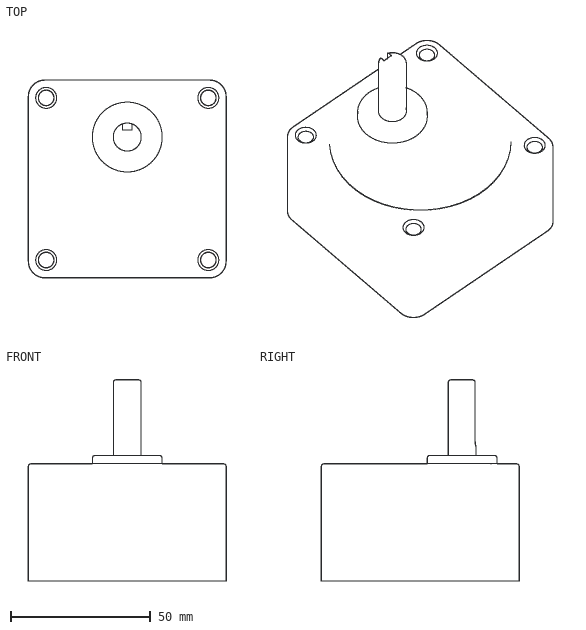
import cadquery as cq

block_width = 70.8
block_height = 42.0
corner_radius = 6.0
edge_round = 1.0

hole_spacing = 57.95
hole_diameter = 5.5
hole_chamfer = 1.0

recess_rim_radius = 33.0
recess_round = 0.5
recess_depth = 2 * recess_round
recess_wall_radius = recess_rim_radius - recess_round
recess_floor = block_height - recess_depth

shaft_offset = 15.0
flange_diameter = 25.0
flange_height = 3.0
flange_top = block_height + flange_height
total_height = 72.0
shaft_diameter = 10.0
shaft_length = total_height - flange_top

key_width = 3.5
key_depth = 2.5
key_gap = 3.0


def make_block():
    block = cq.Workplane("XY").box(block_width, block_width, block_height, centered=(True, True, False))
    return block.edges("|Z").fillet(corner_radius).faces(">Z").edges().fillet(edge_round)


def make_mounting_holes():
    """Through holes with a chamfered mouth, as cutting solids."""
    radius = hole_diameter / 2
    profile = (
        cq.Workplane("XZ")
        .lineTo(radius, 0)
        .lineTo(radius, block_height - hole_chamfer)
        .lineTo(radius + hole_chamfer, block_height)
        .lineTo(0, block_height)
        .close()
    )
    hole = profile.revolve(360, (0, 0), (0, 1)).val()
    corners = cq.Workplane("XY").rect(hole_spacing, hole_spacing, forConstruction=True).vertices()
    return corners.eachpoint(lambda place: hole.moved(place))


def make_recess():
    """Disc with an S-shaped wall of two tangent quarter arcs, as a cutting solid."""
    wall_middle = recess_floor + recess_round
    profile = (
        cq.Workplane("XZ")
        .moveTo(0, recess_floor)
        .lineTo(recess_wall_radius - recess_round, recess_floor)
        .radiusArc((recess_wall_radius, wall_middle), -recess_round)
        .radiusArc((recess_rim_radius, block_height), recess_round)
        .lineTo(0, block_height)
        .close()
    )
    return profile.revolve(360, (0, 0), (0, 1))


def make_housing():
    return make_block().cut(make_mounting_holes()).cut(make_recess())


def make_flange():
    base = cq.Workplane("XY", origin=(0, shaft_offset, block_height))
    return base.circle(flange_diameter / 2).extrude(flange_height).faces(">Z").edges().fillet(edge_round)


def make_keyway():
    """Keyway cutter, reaching from the key floor out past the shaft surface."""
    floor_y = shaft_offset + shaft_diameter / 2 - key_depth
    end_radius = key_width / 2
    arc_start = flange_top + key_gap + end_radius
    profile = (
        cq.Workplane("XZ", origin=(0, floor_y, 0))
        .moveTo(-end_radius, total_height)
        .lineTo(-end_radius, arc_start)
        .threePointArc((0, arc_start - end_radius), (end_radius, arc_start))
        .lineTo(end_radius, total_height)
        .close()
    )
    return profile.extrude(-2 * key_depth)


def make_shaft():
    """Shaft with a rounded tip and a keyway, in one piece with its flange."""
    base = cq.Workplane("XY", origin=(0, shaft_offset, flange_top))
    rod = base.circle(shaft_diameter / 2).extrude(shaft_length)
    rod = rod.faces(">Z").edges().fillet(edge_round).cut(make_keyway())
    return make_flange().union(rod)


housing = make_housing()
shaft = make_shaft()
result = cq.Compound.makeCompound([housing.val(), shaft.val()])